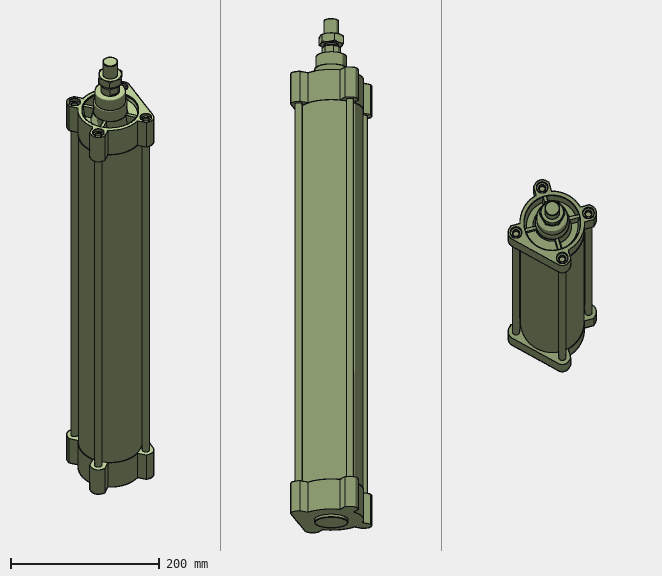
import cadquery as cq
import math

total_height = 717.5
lower_cap_bottom = 4.0
cap_height = 43.0
upper_cap_bottom = 590.0
upper_cap_top = upper_cap_bottom + cap_height
collar_step = 649.0
collar_top = 667.0

cap_width = 93.0
cap_half = cap_width / 2
cap_diameter = 87.5
tie_rod_offset = 36.0
corner_radius = cap_half - tie_rod_offset
arm_width = 21.5
port_plate_half = 31.5

barrel_diameter = 86.0
tie_rod_diameter = 10.0
collar_diameter = 45.0
collar_tip_diameter = 41.5
collar_edge = 1.5
end_boss_chamfer = 1.0

counterbore_diameter = 15.0
counterbore_mouth = 16.0
counterbore_depth = 4.0
hole_diameter = 8.5
hole_mouth = 10.0
hole_depth = 8.5

pocket_diameter = 77.0
pocket_draft = 0.2
core_draft = 0.2
rib_drop = 2.0
rib_top = upper_cap_top - rib_drop
pocket_depth = 18.0
port_pocket_depth = 7.0
rib_top_width = 4.0
rib_draft_angle = 8

rod_diameter = 25.0
rod_shoulder = 680.0
rod_chamfer = 2.0
neck_diameter = 18.0
thread_diameter = 20.0
thread_bottom = 683.0
thread_chamfer = 1.0
flat_width = 22.0
flat_bottom = 668.0
flat_top = 679.0

lock_nut_width = 30.0
lock_nut_height = 12.0
lock_nut_bottom = thread_bottom
lock_nut_chamfer_angle = 30


def cylinder(diameter, bottom, top):
    """Upright cylinder on the Z axis."""
    return cq.Workplane("XY").workplane(offset=bottom).circle(diameter / 2).extrude(top - bottom)


def cone(bottom_diameter, top_diameter, bottom, top):
    """Upright truncated cone on the Z axis."""
    solid = cq.Solid.makeCone(bottom_diameter / 2, top_diameter / 2, top - bottom, cq.Vector(0, 0, bottom))
    return cq.Workplane(obj=solid)


def at_tie_rods(bottom):
    """Workplane at a height, with the four tie-rod centres selected."""
    spacing = 2 * tie_rod_offset
    return cq.Workplane("XY").workplane(offset=bottom).rarray(spacing, spacing, 2, 2)


def mouthed_holes(top, diameter, mouth_diameter, depth):
    """Cutters for a hole on each tie-rod axis, with a 45 degree countersunk mouth."""
    holes = at_tie_rods(top).circle(diameter / 2).extrude(-depth)
    mouths = at_tie_rods(top).circle(mouth_diameter / 2).extrude((diameter - mouth_diameter) / 2, taper=45)
    return holes.union(mouths)


def end_cap(bottom):
    """Round cap with diagonal arms and a flat port face on +Y, trimmed to a rounded square."""
    plane = cq.Workplane("XY").workplane(offset=bottom)
    outline = plane.rect(cap_width, cap_width).extrude(cap_height).edges("|Z").fillet(corner_radius)
    cap = cylinder(cap_diameter, bottom, bottom + cap_height)
    for angle in (45, 135):
        arm = plane.transformed(rotate=(0, 0, angle)).rect(2 * cap_width, arm_width)
        cap = cap.union(arm.extrude(cap_height))
    port_plate = plane.center(0, cap_half / 2).rect(2 * port_plate_half, cap_half).extrude(cap_height)
    return cap.union(port_plate).intersect(outline)


def pocket(angle, depth):
    """Drafted pocket between two ribs; angle is the direction of the rib on its clockwise side."""
    floor = upper_cap_top - depth
    outer = cone(pocket_diameter - 2 * depth * pocket_draft, pocket_diameter, floor, upper_cap_top)
    core = cone(collar_diameter + 2 * depth * core_draft, collar_diameter, floor, upper_cap_top)
    sector = (
        cq.Workplane("XY")
        .workplane(offset=rib_top)
        .transformed(rotate=(0, 0, angle))
        .moveTo(rib_top_width / 2, rib_top_width / 2)
        .rect(cap_width, cap_width, centered=False)
        .extrude(floor - rib_top, taper=rib_draft_angle)
    )
    return outer.cut(core).intersect(sector)


def tie_rod_holes():
    """Counterbore and smaller hole above each tie rod, both with a countersunk mouth."""
    counterbore_floor = upper_cap_top - counterbore_depth
    counterbores = mouthed_holes(upper_cap_top, counterbore_diameter, counterbore_mouth, counterbore_depth)
    return counterbores.union(mouthed_holes(counterbore_floor, hole_diameter, hole_mouth, hole_depth))


def make_housing():
    """Barrel, caps, collar and tie rods, with a blind bore for the piston rod."""
    housing = cylinder(barrel_diameter, lower_cap_bottom, upper_cap_top)
    housing = housing.union(end_cap(lower_cap_bottom)).union(end_cap(upper_cap_bottom))
    tie_rods = at_tie_rods(lower_cap_bottom).circle(tie_rod_diameter / 2)
    housing = housing.union(tie_rods.extrude(upper_cap_top - lower_cap_bottom))

    housing = housing.cut(cylinder(pocket_diameter, rib_top, upper_cap_top))
    housing = housing.cut(pocket(45, port_pocket_depth))
    for angle in (135, 225, 315):
        housing = housing.cut(pocket(angle, pocket_depth))
    housing = housing.cut(tie_rod_holes())

    collar = cylinder(collar_diameter, rib_top, collar_step).faces(">Z").edges().fillet(collar_edge)
    tip = cylinder(collar_tip_diameter, rib_top, collar_top).faces(">Z").edges().fillet(collar_edge)
    end_boss = cylinder(collar_diameter, 0, lower_cap_bottom).faces("<Z").edges().chamfer(end_boss_chamfer)
    housing = housing.union(collar).union(tip).union(end_boss)
    return housing.cut(cylinder(rod_diameter, upper_cap_bottom, collar_top))


def make_piston_rod():
    """Rod with wrench flats on its -X and +X sides, a chamfered shoulder, a neck and a threaded end."""
    rod = cylinder(rod_diameter, upper_cap_bottom, rod_shoulder).faces(">Z").edges().chamfer(rod_chamfer)
    for side in (-1, 1):
        flat = (
            cq.Workplane("XY")
            .workplane(offset=flat_bottom)
            .center(side * (flat_width + rod_diameter) / 2, 0)
            .rect(rod_diameter, rod_diameter)
            .extrude(flat_top - flat_bottom)
        )
        rod = rod.cut(flat)
    neck = cylinder(neck_diameter, upper_cap_bottom, thread_bottom)
    thread = cylinder(thread_diameter, thread_bottom, total_height)
    thread = thread.faces(">Z").edges().chamfer(thread_chamfer)
    return rod.union(neck).union(thread)


def make_lock_nut():
    """Hexagon nut on the thread, corners along Y, with both rims chamfered."""
    corner_diameter = lock_nut_width / math.cos(math.pi / 6)
    hexagon = (
        cq.Workplane("XY")
        .workplane(offset=lock_nut_bottom)
        .transformed(rotate=(0, 0, 90))
        .polygon(6, corner_diameter)
        .extrude(lock_nut_height)
    )
    rim = (corner_diameter - lock_nut_width) / 2
    lock_nut_top = lock_nut_bottom + lock_nut_height
    blank = cylinder(corner_diameter, lock_nut_bottom, lock_nut_top)
    blank = blank.edges().chamfer(rim * math.tan(math.radians(lock_nut_chamfer_angle)), rim)
    return hexagon.intersect(blank).cut(cylinder(thread_diameter, lock_nut_bottom, lock_nut_top))


housing = make_housing()
piston_rod = make_piston_rod()
lock_nut = make_lock_nut()
result = cq.Compound.makeCompound([housing.val(), piston_rod.val(), lock_nut.val()])